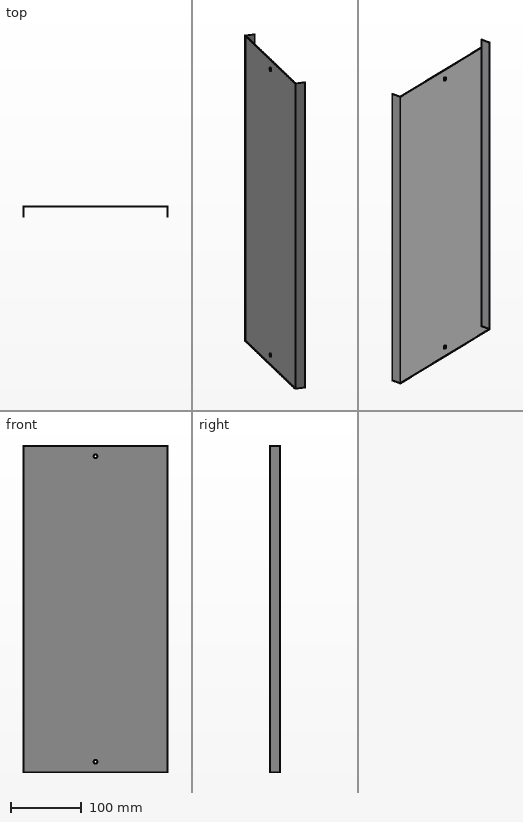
import cadquery as cq

width = 204.0
depth = 14.5
height = 460.0

thickness = 0.8

hole_diameter = 5.0
hole_edge_distance = 14.5


def folded_panel():
    """Sheet with its web at +Y and both side flanges folded toward -Y."""
    outer = cq.Workplane("XY").box(width, depth, height)
    hollow = (
        cq.Workplane("XY")
        .box(width - 2 * thickness, depth, height)
        .translate((0, -thickness, 0))
    )
    return outer.cut(hollow)


def mounting_holes():
    """Cylinders that pierce the web near its top and bottom edges."""
    hole_offset = height / 2 - hole_edge_distance
    return (
        cq.Workplane("XZ")
        .pushPoints([(0, -hole_offset), (0, hole_offset)])
        .circle(hole_diameter / 2)
        .extrude(depth, both=True)
    )


result = folded_panel().cut(mounting_holes())